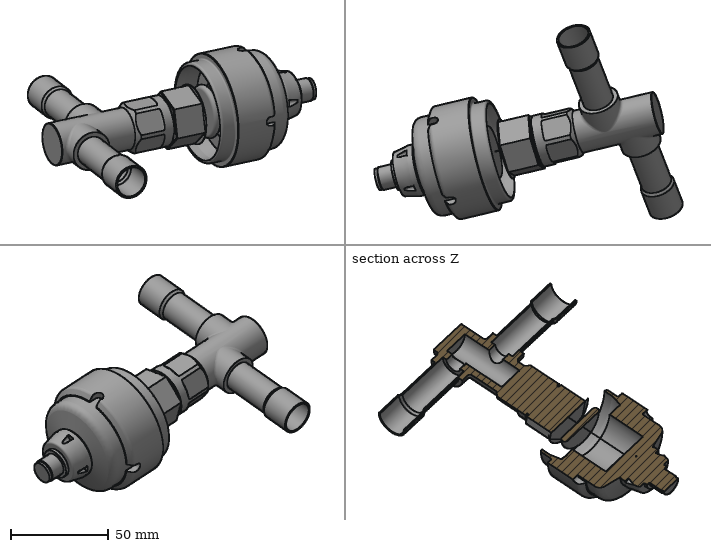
import cadquery as cq
import math


body_diameter = 22.3
body_top = 42.6
body_end_chamfer = 0.3
chamber_diameter = 14.0
chamber_bottom = 6.0

sleeve_diameter = 21.0
sleeve_reach = 17.0
sleeve_root_fillet = 1.5
branch_reach = 61.0
pipe_diameter = 16.0
pipe_bore = 14.0
pipe_bore_end = 12.0
socket_diameter = 18.0
socket_bore = pipe_diameter
socket_length = 15.4
socket_taper = 1.7
port_diameter = 9.0
left_branch_y = 26.9
right_branch_y = 14.0

ring_diameter = 27.0
lower_hex_flats = 24.5
lower_hex_top = 58.7
lower_hex_root_fillet = 0.8
hex_cone_height = (ring_diameter - body_diameter) / 2
ring_top = 64.0
neck_diameter = 24.0

upper_hex_bottom = 65.0
upper_hex_top = 81.7
upper_hex_flats = 26.7
upper_hex_turn = 43.2
upper_hex_chamfer = 0.5
disc_diameter = 31.5
disc_thickness = 0.2

collar_diameter = 53.5
collar_bottom = 84.9
collar_fillet = 1.2
collar_root_fillet = 0.8
housing_diameter = 60.0
housing_bottom = 92.7
housing_shoulder = 113.5
housing_shoulder_fillet = 1.7
housing_edge_chamfer = 0.3
cap_bottom = 115.8
cap_bottom_diameter = 53.5
cap_diameter = 52.2
cap_corner = 124.5
cap_fillet = 4.2
cap_top = 127.6

cup_diameter = 49.8
cup_taper_start = 89.8
cup_floor = 96.8
cup_floor_diameter = 46.7
well_diameter = 29.6
well_floor = 119.3

puck_face_diameter = 24.3
puck_bottom = 87.6
puck_thickness = 4.0

notch_width = 5.0
notch_bottom = 109.3
notch_turn = 3.0

nut_diameter = 27.0
nut_bottom = 128.2
nut_neck_diameter = 26.1
nut_taper_start = 131.2
nut_top = 139.5
nut_top_diameter = 23.4
nut_fillet = 1.0
flange_diameter = 16.0
flange_top = 141.3
plug_diameter = 12.2
plug_bevel_start = 149.0
plug_shoulder = 149.5
plug_tip_diameter = 11.5
plug_top = 151.0

arrow_bottom = nut_taper_start
arrow_top = 136.7
arrow_bottom_radius = 1.8
arrow_top_radius = 0.8
arrow_ledge = 0.9
arrow_turn = 4.3

joining_pin_diameter = 0.3

hex_sides = 6
quarter_turns = [90 * step for step in range(4)]


def turned(outline):
    """Turn a closed (radius, y) outline about the Y axis."""
    return cq.Workplane("XY").polyline(outline).close().revolve(360, (0, 0), (0, 1))


def rod(diameter, bottom, top):
    """A plain cylinder on the Y axis."""
    return turned([(0, bottom), (diameter / 2, bottom), (diameter / 2, top), (0, top)])


def rims_at(y):
    """Selector for the round edges at height y on the Y axis."""
    margin = 0.02
    return cq.selectors.BoxSelector((-margin, y - margin, -margin), (margin, y + margin, margin))


def spun(shape, angle):
    """Turn a shape about the Y axis, from +Z towards -X for a positive angle."""
    return shape.rotate((0, 0, 0), (0, 1, 0), -angle)


def hexagon(flats, bottom, top):
    """A hexagonal bar on the Y axis with corners on +X and -X."""
    corners = flats / math.cos(math.pi / hex_sides)
    return cq.Workplane("XZ", origin=(0, bottom, 0)).polygon(hex_sides, corners).extrude(bottom - top)


def along_x(outline, y, side):
    """Turn an (x, radius) outline about the X axis and set it on one side at height y."""
    shape = cq.Workplane("XY").polyline(outline).close().revolve(360, (0, 0), (1, 0))
    if side < 0:
        shape = shape.mirror("YZ")
    return shape.translate((0, y, 0))


def x_rod(diameter, start, end, y, side):
    """A plain cylinder along X."""
    radius = diameter / 2
    return along_x([(start, 0), (end, 0), (end, radius), (start, radius)], y, side)


def make_tee():
    """Valve body, branch sleeves and flared pipes, hollowed out."""
    branches = ((left_branch_y, -1), (right_branch_y, 1))
    tee = rod(body_diameter, 0, body_top)
    for y, side in branches:
        tee = tee.union(x_rod(sleeve_diameter, 0, sleeve_reach, y, side))
    tee = tee.edges("not(%CIRCLE or %LINE)").fillet(sleeve_root_fillet)
    tee = tee.edges(rims_at(0)).chamfer(body_end_chamfer)

    socket_start = branch_reach - socket_length
    taper_start = socket_start - socket_taper
    pipe_outline = [
        (pipe_bore_end, 0),
        (branch_reach, 0),
        (branch_reach, socket_diameter / 2),
        (socket_start, socket_diameter / 2),
        (taper_start, pipe_diameter / 2),
        (pipe_bore_end, pipe_diameter / 2),
    ]
    bore_outline = [
        (pipe_bore_end, 0),
        (branch_reach, 0),
        (branch_reach, socket_bore / 2),
        (socket_start, socket_bore / 2),
        (taper_start, pipe_bore / 2),
        (pipe_bore_end, pipe_bore / 2),
    ]
    for y, side in branches:
        tee = tee.union(along_x(pipe_outline, y, side))
    for y, side in branches:
        tee = tee.cut(along_x(bore_outline, y, side))
        tee = tee.cut(x_rod(port_diameter, 0, pipe_bore_end, y, side))
    return tee.cut(rod(chamber_diameter, chamber_bottom, body_top))


def make_lower_hex():
    """Turned ring whose lower part carries six flats and a cone towards the body."""
    ring_radius = ring_diameter / 2
    blank = turned([
        (0, body_top),
        (body_diameter / 2, body_top),
        (ring_radius, body_top + hex_cone_height),
        (ring_radius, ring_top),
        (neck_diameter / 2, ring_top),
        (neck_diameter / 2, upper_hex_bottom),
        (0, upper_hex_bottom),
    ])
    mill = (
        cq.Workplane("XY")
        .box(ring_diameter, lower_hex_top - body_top, ring_radius, centered=(True, False, False))
        .edges(">Y and <Z")
        .fillet(lower_hex_root_fillet)
        .translate((0, body_top, lower_hex_flats / 2))
    )
    for index in range(hex_sides):
        blank = blank.cut(spun(mill, 360 / hex_sides * index))
    return blank


def make_upper_hex():
    """Hexagon with broken lower corners and a thin disc on top."""
    bar = hexagon(upper_hex_flats, upper_hex_bottom, upper_hex_top)
    bar = bar.faces("<Y").chamfer(upper_hex_chamfer)
    bar = spun(bar, upper_hex_turn)
    return bar.union(rod(disc_diameter, upper_hex_top - disc_thickness, upper_hex_top))


def make_housing():
    """Cup-shaped housing with domed cap, stepped bore and four notches."""
    shell = turned([
        (0, collar_bottom),
        (collar_diameter / 2, collar_bottom),
        (collar_diameter / 2, housing_bottom),
        (housing_diameter / 2, housing_bottom),
        (housing_diameter / 2, housing_shoulder),
        (cap_bottom_diameter / 2, cap_bottom),
        (cap_diameter / 2, cap_bottom),
        (cap_diameter / 2, cap_corner),
        (nut_neck_diameter / 2, cap_top),
        (0, cap_top),
    ])
    shell = shell.edges(rims_at(collar_bottom)).fillet(collar_fillet)
    shell = shell.edges(rims_at(housing_shoulder)).fillet(housing_shoulder_fillet)
    shell = shell.edges(rims_at(cap_corner)).fillet(cap_fillet)
    underside_rims = shell.edges(rims_at(housing_bottom))
    shell = underside_rims.edges(cq.selectors.RadiusNthSelector(-1)).chamfer(housing_edge_chamfer)
    underside_rims = shell.edges(rims_at(housing_bottom))
    shell = underside_rims.edges(cq.selectors.RadiusNthSelector(0)).fillet(collar_root_fillet)

    cup = turned([
        (0, collar_bottom),
        (cup_diameter / 2, collar_bottom),
        (cup_diameter / 2, cup_taper_start),
        (cup_floor_diameter / 2, cup_floor),
        (0, cup_floor),
    ])
    shell = shell.cut(cup).cut(rod(well_diameter, cup_floor, well_floor))

    notch_arc_y = notch_bottom + notch_width / 2
    cutter = (
        cq.Workplane("XY")
        .moveTo(-notch_width / 2, cap_bottom)
        .lineTo(-notch_width / 2, notch_arc_y)
        .threePointArc((0, notch_bottom), (notch_width / 2, notch_arc_y))
        .lineTo(notch_width / 2, cap_bottom)
        .close()
        .extrude(housing_diameter)
        .cut(rod(cap_diameter, notch_bottom, cap_bottom))
    )
    for angle in quarter_turns:
        shell = shell.cut(spun(cutter, angle + notch_turn))
    return shell


def make_puck():
    """Disc on the Y axis with a fully rounded edge."""
    face_radius = puck_face_diameter / 2
    edge_radius = puck_thickness / 2
    puck_top = puck_bottom + puck_thickness
    return (
        cq.Workplane("XY")
        .moveTo(0, puck_bottom)
        .lineTo(face_radius, puck_bottom)
        .threePointArc((face_radius + edge_radius, puck_bottom + edge_radius), (face_radius, puck_top))
        .lineTo(0, puck_top)
        .close()
        .revolve(360, (0, 0), (0, 1))
    )


def make_nut_and_plug():
    """Tapered union nut with four scooped arrow marks, and the cable plug above it."""
    nut = turned([
        (0, cap_top),
        (nut_neck_diameter / 2, cap_top),
        (nut_diameter / 2, nut_bottom),
        (nut_diameter / 2, nut_taper_start),
        (nut_top_diameter / 2, nut_top),
        (0, nut_top),
    ])
    nut = nut.edges(rims_at(nut_top)).fillet(nut_fillet)

    scoop = turned([
        (0, arrow_bottom),
        (arrow_bottom_radius, arrow_bottom),
        (arrow_bottom_radius, arrow_bottom + arrow_ledge),
        (arrow_top_radius, arrow_top),
        (0, arrow_top),
    ]).translate((0, 0, nut_diameter / 2 - arrow_top_radius))
    for angle in quarter_turns:
        nut = nut.cut(spun(scoop, angle + arrow_turn))

    plug = turned([
        (0, nut_top),
        (flange_diameter / 2, nut_top),
        (flange_diameter / 2, flange_top),
        (plug_diameter / 2, flange_top),
        (plug_diameter / 2, plug_bevel_start),
        (plug_tip_diameter / 2, plug_shoulder),
        (plug_tip_diameter / 2, plug_top),
        (0, plug_top),
    ])
    return nut.union(plug)


valve = make_tee().union(make_lower_hex()).union(make_upper_hex())
motor = make_housing().union(make_nut_and_plug())
joining_pin = rod(joining_pin_diameter, upper_hex_top, well_floor)
result = valve.union(joining_pin).union(make_puck()).union(motor)